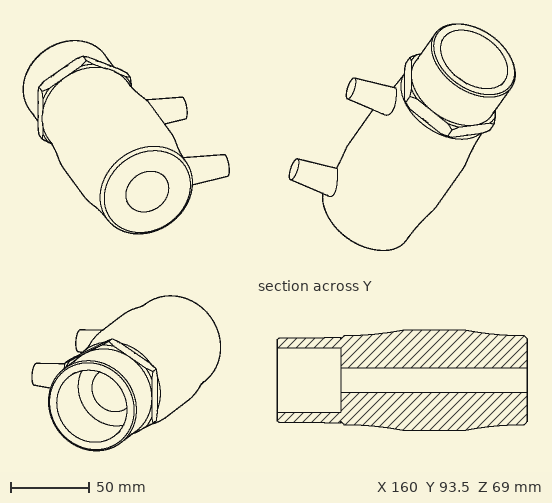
import cadquery as cq
import math

total_length = 160.0
nut_start = 30.4
nut_width = 10.4
waist_start = 80.6
waist_length = 39.5
nut_end = nut_start + nut_width
waist_end = waist_start + waist_length

spigot_diameter = 59.7
spigot_chamfer = 1.1
waist_diameter = 69.0
body_end_diameter = 62.4
body_chamfer = 2.0
nut_across_flats = 59.7
nut_chamfer = 2.0
bore_diameter = 29.0
spigot_bore_diameter = 47.7
spigot_bore_depth = nut_end

pin_centers = (58.5, 142.0)
pin_tip_diameter = 14.2
pin_root_diameter = 18.9
pin_tip_y = 59.0
pin_root_y = 29.6


def cylinder(diameter, start, length):
    """Solid cylinder on the X axis."""
    return cq.Workplane("YZ", origin=(start, 0, 0)).circle(diameter / 2).extrude(length)


def make_spigot():
    return cylinder(spigot_diameter, 0, nut_end).faces("<X").chamfer(spigot_chamfer)


def make_nut():
    """Hexagon with flats facing +Y and -Y and corners trimmed by a chamfered disc."""
    across_corners = nut_across_flats / math.cos(math.pi / 6)
    hexagon = (
        cq.Workplane("YZ", origin=(nut_start, 0, 0))
        .transformed(rotate=(0, 0, 90))
        .polygon(6, across_corners)
        .extrude(nut_width)
    )
    disc = cylinder(across_corners, nut_start, nut_width).edges().chamfer(nut_chamfer)
    return hexagon.intersect(disc)


def make_body():
    """Revolved sleeve: a straight waist between hollow flares that level out at the ends."""
    waist_radius = waist_diameter / 2
    end_radius = body_end_diameter / 2
    chamfer_radius = end_radius - body_chamfer
    left_rim = nut_end + body_chamfer
    right_rim = total_length - body_chamfer

    rise = waist_radius - end_radius
    left_run = waist_start - left_rim
    right_run = right_rim - waist_end
    left_arc_radius = (left_run**2 + rise**2) / (2 * rise)
    right_arc_radius = (right_run**2 + rise**2) / (2 * rise)

    return (
        cq.Workplane("XY")
        .moveTo(nut_end, 0)
        .lineTo(nut_end, chamfer_radius)
        .lineTo(left_rim, end_radius)
        .radiusArc((waist_start, waist_radius), -left_arc_radius)
        .lineTo(waist_end, waist_radius)
        .radiusArc((right_rim, end_radius), -right_arc_radius)
        .lineTo(total_length, chamfer_radius)
        .lineTo(total_length, 0)
        .close()
        .revolve(360, (0, 0, 0), (1, 0, 0))
    )


def make_pin(center_x):
    pin = cq.Solid.makeCone(
        pin_root_diameter / 2,
        pin_tip_diameter / 2,
        pin_tip_y - pin_root_y,
        pnt=cq.Vector(center_x, pin_root_y, 0),
        dir=cq.Vector(0, 1, 0),
    )
    root_depth = pin_root_y - spigot_bore_diameter / 2
    root = cq.Solid.makeCylinder(
        pin_root_diameter / 2,
        root_depth,
        pnt=cq.Vector(center_x, pin_root_y - root_depth, 0),
        dir=cq.Vector(0, 1, 0),
    )
    return cq.Workplane(obj=pin).union(cq.Workplane(obj=root))


result = make_spigot().union(make_nut()).union(make_body())
for pin_x in pin_centers:
    result = result.union(make_pin(pin_x))

result = result.cut(cylinder(bore_diameter, 0, total_length))
result = result.cut(cylinder(spigot_bore_diameter, 0, spigot_bore_depth))